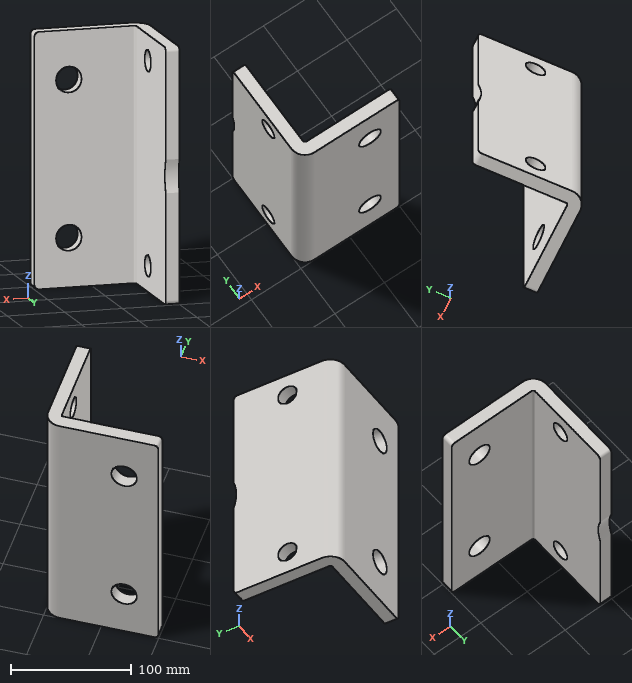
import cadquery as cq

height = 220.0
leg_length = 100.0
thickness = 12.0
outer_bend_radius = 14.0
inner_bend_radius = outer_bend_radius - thickness
corner_radius = 4.0

front_hole_diameter = 22.0
front_hole_x = 70.2
front_hole_spacing = 135.0

side_hole_diameter = 18.0
side_hole_y = 47.5
side_hole_spacing = 175.1

notch_width = 28.5
notch_depth = 2.6
notch_radius = (notch_width**2 / 4 + notch_depth**2) / (2 * notch_depth)


def bent_plate():
    """L-section standing on Z = 0, with its outer faces on X = 0 and Y = 0."""
    section = (
        cq.Workplane("XY")
        .polyline(
            [
                (0, 0),
                (leg_length, 0),
                (leg_length, thickness),
                (thickness, thickness),
                (thickness, leg_length),
                (0, leg_length),
            ]
        )
        .close()
    )
    plate = section.extrude(height)
    plate = plate.edges(cq.selectors.NearestToPointSelector((0, 0, height / 2))).fillet(outer_bend_radius)
    inner_edge = cq.selectors.NearestToPointSelector((thickness, thickness, height / 2))
    return plate.edges(inner_edge).fillet(inner_bend_radius)


def round_free_corners(plate):
    """Round the top and bottom corners at the free end of each leg."""
    plate = plate.faces(">X").edges("|Y").fillet(corner_radius)
    return plate.faces(">Y").edges("|X").fillet(corner_radius)


def front_hole(z):
    """Cutter along Y through the leg that runs along X."""
    return (
        cq.Workplane("XZ")
        .center(front_hole_x, z)
        .circle(front_hole_diameter / 2)
        .extrude(-thickness)
    )


def side_cutter(y, z, radius):
    """Cylinder along X through the leg that runs along Y."""
    return cq.Workplane("YZ").center(y, z).circle(radius).extrude(thickness)


mid_height = height / 2
result = round_free_corners(bent_plate())

for side in (-1, 1):
    result = result.cut(front_hole(mid_height + side * front_hole_spacing / 2))
    side_hole_z = mid_height + side * side_hole_spacing / 2
    result = result.cut(side_cutter(side_hole_y, side_hole_z, side_hole_diameter / 2))

notch_center_y = leg_length - notch_depth + notch_radius
result = result.cut(side_cutter(notch_center_y, mid_height, notch_radius))